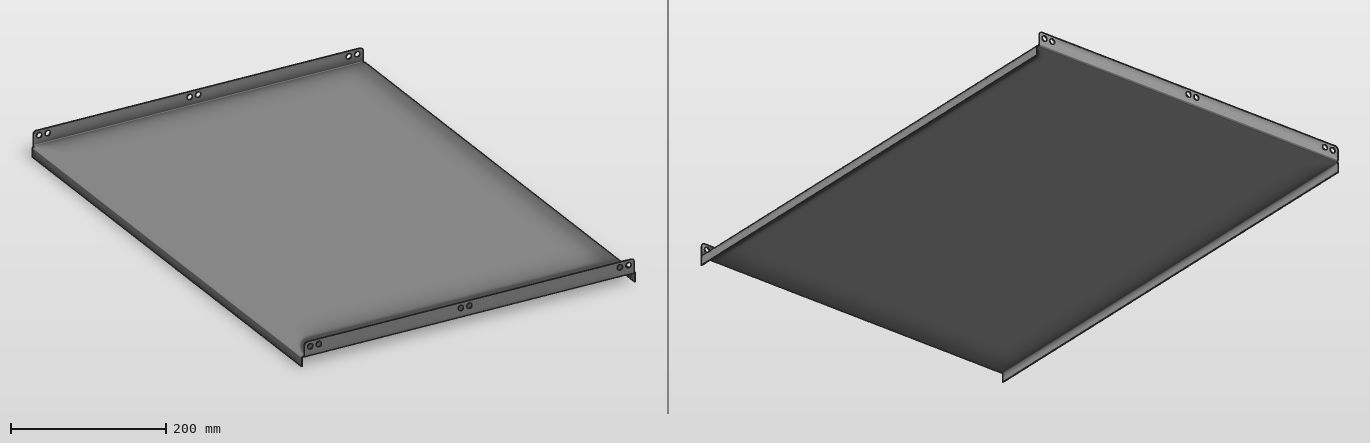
import cadquery as cq

length = 706.0
width = 496.0
height = 35.0

sheet = 1.5
inner_radius = 1.5
outer_radius = inner_radius + sheet
front_flange_height = 15.0
floor_top = front_flange_height
floor_bottom = floor_top - sheet

corner_gap = outer_radius
side_flange_length = width - 2 * corner_gap
front_flange_length = length - 2 * corner_gap
flange_corner_radius = 5.0

hole_diameter = 8.0
hole_drop = 8.0
hole_pitch = 13.0
outer_hole_y = 236.5
hole_z = height - hole_drop
hole_positions = [
    outer_hole_y,
    outer_hole_y - hole_pitch,
    0,
    -hole_pitch,
    -(outer_hole_y - hole_pitch),
    -outer_hole_y,
]


def side_flange():
    """Upturned flange and bend on the -X side."""
    outer_x = -length / 2
    inner_x = outer_x + sheet
    bend_x = outer_x + outer_radius
    bend_z = floor_bottom + outer_radius
    flange = (
        cq.Workplane("XZ")
        .moveTo(bend_x, floor_bottom)
        .radiusArc((outer_x, bend_z), outer_radius)
        .lineTo(outer_x, height)
        .lineTo(inner_x, height)
        .lineTo(inner_x, bend_z)
        .radiusArc((bend_x, floor_top), -inner_radius)
        .close()
        .extrude(side_flange_length / 2, both=True)
    )
    top_corners = cq.selectors.BoxSelector(
        (outer_x - sheet, -width, height - flange_corner_radius / 2),
        (inner_x + sheet, width, height + sheet),
    )
    return flange.edges("|X").edges(top_corners).fillet(flange_corner_radius)


def front_flange():
    """Downturned flange and bend on the -Y side."""
    outer_y = -width / 2
    inner_y = outer_y + sheet
    bend_y = outer_y + outer_radius
    bend_z = floor_top - outer_radius
    return (
        cq.Workplane("YZ")
        .moveTo(bend_y, floor_top)
        .radiusArc((outer_y, bend_z), -outer_radius)
        .lineTo(outer_y, 0)
        .lineTo(inner_y, 0)
        .lineTo(inner_y, bend_z)
        .radiusArc((bend_y, floor_bottom), inner_radius)
        .close()
        .extrude(front_flange_length / 2, both=True)
    )


result = (
    cq.Workplane("XY")
    .workplane(offset=floor_bottom)
    .rect(front_flange_length, side_flange_length)
    .extrude(sheet)
)

side = side_flange()
front = front_flange()
result = result.union(side).union(side.mirror("YZ"))
result = result.union(front).union(front.mirror("XZ"))

holes = (
    cq.Workplane("YZ")
    .pushPoints([(y, hole_z) for y in hole_positions])
    .circle(hole_diameter / 2)
    .extrude(length, both=True)
)
result = result.cut(holes)